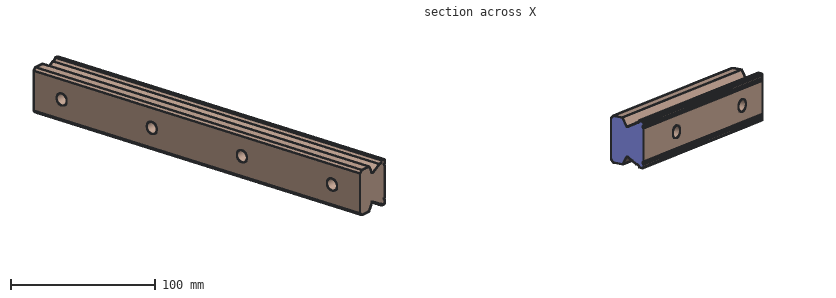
import cadquery as cq
import math

length = 290.0
depth = 27.5
height = 34.0
half_height = height / 2

front_chamfer = 2.0
back_chamfer = 1.0

groove_start = 9.9
groove_depth = 6.1
groove_floor = 0.7
steep_angle = math.radians(60)
shallow_angle = math.radians(30)

scallop_radius = 2.0
scallop_center = 21.75

notch_offset = 4.0
notch_width = 2.0
notch_depth = 0.8

hole_diameter = 9.0
hole_pitch = 80.0
hole_count = 4
end_margin = (length - (hole_count - 1) * hole_pitch) / 2


def rail_blank():
    """Bar from X = 0 and Y = 0, centred on Z, with its four long edges chamfered."""
    bar = cq.Workplane("XY").box(length, depth, height, centered=(False, False, True))
    bar = bar.faces("<Y").edges("|X").chamfer(front_chamfer)
    return bar.faces(">Y").edges("|X").chamfer(back_chamfer)


def flank_meets_scallop(floor_end, floor_z):
    """Front crossing (Y, Z) of the shallow groove flank with the scallop circle."""
    slope = math.tan(shallow_angle)
    rise = floor_z + slope * (scallop_center - floor_end) - half_height
    center_to_flank = rise * math.cos(shallow_angle)
    half_chord = math.sqrt(scallop_radius**2 - center_to_flank**2)
    chord_middle_y = -center_to_flank * math.sin(shallow_angle)
    offset_y = chord_middle_y - half_chord * math.cos(shallow_angle)
    return scallop_center + offset_y, half_height + rise + slope * offset_y


def top_groove():
    """Cutter for the full-length top groove: steep flank, floor, shallow flank, scallop."""
    floor_z = half_height - groove_depth
    floor_start = groove_start + groove_depth / math.tan(steep_angle)
    floor_end = floor_start + groove_floor
    arc_middle = scallop_radius * math.sqrt(0.5)
    return (
        cq.Workplane("YZ")
        .moveTo(groove_start, half_height)
        .lineTo(floor_start, floor_z)
        .lineTo(floor_end, floor_z)
        .lineTo(*flank_meets_scallop(floor_end, floor_z))
        .threePointArc(
            (scallop_center + arc_middle, half_height - arc_middle),
            (scallop_center + scallop_radius, half_height),
        )
        .close()
        .extrude(length)
    )


def upper_back_notch():
    """Cutter for the V notch near the top of the back face."""
    notch_z = half_height - notch_offset
    return (
        cq.Workplane("YZ")
        .moveTo(depth, notch_z + notch_width / 2)
        .lineTo(depth - notch_depth, notch_z)
        .lineTo(depth, notch_z - notch_width / 2)
        .close()
        .extrude(length)
    )


def mounting_holes():
    """Row of cylinders along X, running from the front face to the back face."""
    centers = [(end_margin + index * hole_pitch, 0) for index in range(hole_count)]
    return cq.Workplane("XZ").pushPoints(centers).circle(hole_diameter / 2).extrude(-depth)


result = rail_blank()
for cutter in (top_groove(), upper_back_notch()):
    result = result.cut(cutter).cut(cutter.mirror("XY"))
result = result.cut(mounting_holes())